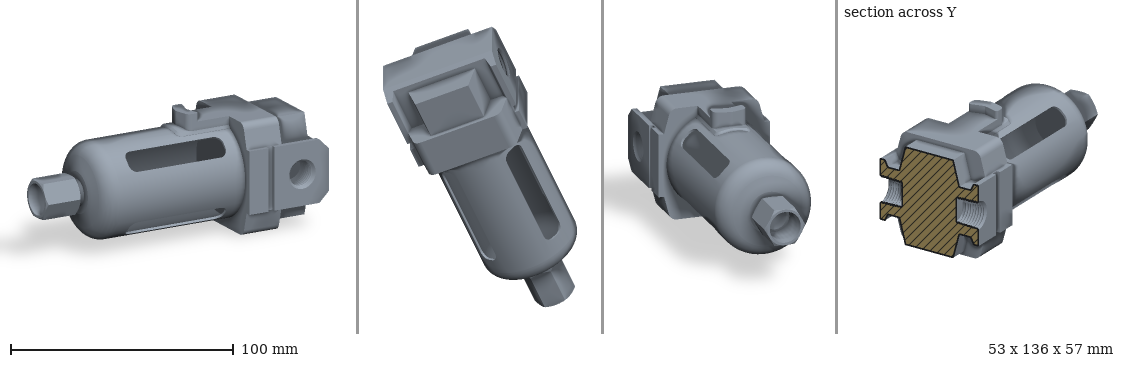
import cadquery as cq
import math

OVERLAP = 1.4

HEAD_LENGTH = 41.1
HEAD_HALF = 26.5
DRAFT = 15.0
PLATE_HALF_HEIGHT = 15.0
PLATE_CHAMFER = 4.9
COLLAR_LENGTH = 18.1
COLLAR_SHOULDER = 24.0
COLLAR_FILLET = 4.0
TOWER_HALF_HEIGHT = 24.1
TOWER_TOP_HALF_WIDTH = 12.9
POCKET_DEPTH = 3.3
POCKET_TOP_HALF_WIDTH = 24.0
POCKET_FLOOR_HALF_WIDTH = 22.3
GROOVE_START = 9.8
GROOVE_WIDTH = 3.3
GROOVE_DEPTH = 1.9

PORT_Y = 27.3
PORT_MOUTH_RADIUS = 7.0
PORT_CREST_RADIUS = 6.0
PORT_TAPER = 1 / 16
THREAD_PITCH = 1.4
THREAD_DEPTH = 0.7
THREAD_TURNS = 8
PORT_COUNTERSINK = PORT_MOUTH_RADIUS - PORT_CREST_RADIUS

BOWL_RADIUS = 22.7
BOWL_WALL = 1.1
BOWL_STRAIGHT = 64.3
DOME_ARC_RADIUS = 8.0
DOME_CONE_ANGLE = 15.0
BOWL_END_RADIUS = 9.8
WINDOW_START = 7.0
WINDOW_LENGTH = 50.2
WINDOW_WIDTH = 10.6
WINDOW_CORNER = 3.8
WINDOW_ANGLES = (45, 135, 225, 315)

LATCH_HALF_WIDTH = 7.9
LATCH_TOP = HEAD_HALF
KNOB_TOP = 30.5
KNOB_TIP = 23.1
KNOB_THICKNESS = 5.6
KNOB_ANGLE = 15.0
KNOB_FRONT_FILLET = 2.7
KNOB_REAR_FILLET = 1.1
KNOB_TIP_FILLET = 2.7
BOSS_LENGTH = 26.9
BOSS_HALF_WIDTH = 8.8
BOSS_HEIGHT = 1.1
BOSS_CORNER = 2.9
BOSS_CHAMFER = 1.02

TOTAL_LENGTH = 136.0
NECK_RADIUS = 6.4
NUT_LENGTH = 18.0
NUT_ACROSS_FLATS = 17.0
NUT_BEVEL = 30.0
BORE_MOUTH_RADIUS = 7.3
BORE_FLOOR_RADIUS = 6.8
BORE_DEPTH = 13.6
DRILL_RADIUS = 5.6
DRILL_POINT_DEPTH = DRILL_RADIUS


def slope(angle):
    return math.tan(math.radians(angle))


def prism(points, start, end):
    """Closed outline in X and Z, extruded along Y from start to end."""
    return cq.Workplane("XZ", origin=(0, start, 0)).polyline(points).close().extrude(start - end)


def trapezoid(low_half, low_z, high_half, high_z):
    return [(-low_half, low_z), (low_half, low_z), (high_half, high_z), (-high_half, high_z)]


def above_and_below(shape):
    return shape.union(shape.mirror("XY"))


def both_sides(shape):
    return shape.union(shape.mirror("YZ"))


def side_plates():
    return (
        cq.Workplane("XY")
        .box(2 * HEAD_HALF, HEAD_LENGTH, 2 * PLATE_HALF_HEIGHT, centered=(True, False, True))
        .edges("|X and >Y")
        .chamfer(PLATE_CHAMFER)
    )


def collar():
    top_half_width = COLLAR_SHOULDER - (HEAD_HALF - PLATE_HALF_HEIGHT) * slope(DRAFT)
    upper = prism(
        trapezoid(COLLAR_SHOULDER, PLATE_HALF_HEIGHT, top_half_width, HEAD_HALF), 0, COLLAR_LENGTH
    )
    upper = upper.edges("|Y and >Z").fillet(COLLAR_FILLET)
    return above_and_below(upper)


def tower():
    floor_z = PLATE_HALF_HEIGHT - POCKET_DEPTH
    base_half_width = TOWER_TOP_HALF_WIDTH + (TOWER_HALF_HEIGHT - floor_z) * slope(DRAFT)
    upper = prism(
        trapezoid(base_half_width, floor_z, TOWER_TOP_HALF_WIDTH, TOWER_HALF_HEIGHT),
        COLLAR_LENGTH,
        HEAD_LENGTH - PLATE_CHAMFER,
    )
    return above_and_below(upper)


def tower_pockets():
    floor_z = PLATE_HALF_HEIGHT - POCKET_DEPTH
    upper = prism(
        trapezoid(POCKET_FLOOR_HALF_WIDTH, floor_z, POCKET_TOP_HALF_WIDTH, PLATE_HALF_HEIGHT),
        COLLAR_LENGTH,
        HEAD_LENGTH,
    )
    return above_and_below(upper)


def side_grooves():
    groove = cq.Workplane("XY").box(
        GROOVE_DEPTH, GROOVE_WIDTH, 2 * PLATE_HALF_HEIGHT, centered=(False, False, True)
    )
    return both_sides(groove.translate((HEAD_HALF - GROOVE_DEPTH, GROOVE_START, 0)))


def threaded_ports():
    """Blind bore with a countersunk mouth and tapered V rings for the thread."""
    profile = [(HEAD_HALF, 0), (HEAD_HALF, PORT_MOUTH_RADIUS)]
    for turn in range(THREAD_TURNS + 1):
        depth = PORT_COUNTERSINK + turn * THREAD_PITCH
        crest = PORT_CREST_RADIUS - depth * PORT_TAPER / 2
        profile.append((HEAD_HALF - depth, crest))
        if turn < THREAD_TURNS:
            profile.append((HEAD_HALF - depth - THREAD_PITCH / 2, crest + THREAD_DEPTH))
    profile.append((profile[-1][0], 0))
    port = cq.Workplane("XY").polyline(profile).close().revolve(360, (0, 0, 0), (1, 0, 0))
    return both_sides(port.translate((0, PORT_Y, 0)))


def make_head():
    return (
        side_plates()
        .cut(tower_pockets())
        .union(tower())
        .union(collar())
        .cut(side_grooves())
        .cut(threaded_ports())
    )


def bowl_end_y():
    """Y of the flat ring where the dome's cone ends and the drain starts."""
    arc_end_radius = BOWL_RADIUS - DOME_ARC_RADIUS * (1 - math.sin(math.radians(DOME_CONE_ANGLE)))
    arc_drop = DOME_ARC_RADIUS * math.cos(math.radians(DOME_CONE_ANGLE))
    cone_drop = (arc_end_radius - BOWL_END_RADIUS) * slope(DOME_CONE_ANGLE)
    return -(BOWL_STRAIGHT + arc_drop + cone_drop)


def bowl_shape(inset):
    """Solid of revolution whose faces all lie the inset inside the outer bowl."""
    centre_radius = BOWL_RADIUS - DOME_ARC_RADIUS
    arc_radius = DOME_ARC_RADIUS - inset

    def arc_point(angle):
        turn = math.radians(angle)
        return (
            centre_radius + arc_radius * math.cos(turn),
            -BOWL_STRAIGHT - arc_radius * math.sin(turn),
        )

    arc_angle = 90 - DOME_CONE_ANGLE
    arc_end = arc_point(arc_angle)
    end_y = bowl_end_y() + inset
    end_radius = arc_end[0] - (arc_end[1] - end_y) / slope(DOME_CONE_ANGLE)
    return (
        cq.Workplane("XY")
        .lineTo(BOWL_RADIUS - inset, 0)
        .lineTo(BOWL_RADIUS - inset, -BOWL_STRAIGHT)
        .threePointArc(arc_point(arc_angle / 2), arc_end)
        .lineTo(end_radius, end_y)
        .lineTo(0, end_y)
        .close()
        .revolve(360, (0, 0, 0), (0, 1, 0))
    )


def latch_boss():
    """Low pad that follows the bowl surface under the latch."""
    top_radius = BOWL_RADIUS + BOSS_HEIGHT
    footprint = (
        cq.Workplane("XY")
        .box(2 * BOSS_HALF_WIDTH, BOSS_LENGTH, top_radius + OVERLAP, centered=(True, False, False))
        .translate((0, -BOSS_LENGTH, 0))
        .edges("|Z and <Y")
        .fillet(BOSS_CORNER)
    )
    follower = cq.Workplane("XZ").circle(top_radius).extrude(BOSS_LENGTH)
    return footprint.intersect(follower).faces(">Z").edges("not >Y").chamfer(BOSS_CHAMFER)


def latch():
    """Flat tongue ending in a raised V-shaped finger grip."""
    sweep = LATCH_HALF_WIDTH * slope(KNOB_ANGLE)
    front_corner_y = -KNOB_TIP + sweep
    rear_tip_y = -KNOB_TIP + KNOB_THICKNESS
    rear_corner_y = rear_tip_y + sweep

    def v_prism(rear, height):
        front = [(LATCH_HALF_WIDTH, front_corner_y), (0, -KNOB_TIP), (-LATCH_HALF_WIDTH, front_corner_y)]
        shape = cq.Workplane("XY").polyline(rear + front).close().extrude(height)
        shape = shape.edges("|Z and <Y").fillet(KNOB_TIP_FILLET)
        for side in (-1, 1):
            corner_point = (side * LATCH_HALF_WIDTH, front_corner_y, height / 2)
            corner = cq.selectors.NearestToPointSelector(corner_point)
            shape = shape.edges("|Z").edges(corner).fillet(KNOB_FRONT_FILLET)
        return shape

    tongue = v_prism([(-LATCH_HALF_WIDTH, 0), (LATCH_HALF_WIDTH, 0)], LATCH_TOP)
    rear_v = [(-LATCH_HALF_WIDTH, rear_corner_y), (0, rear_tip_y), (LATCH_HALF_WIDTH, rear_corner_y)]
    knob = v_prism(rear_v, KNOB_TOP).edges("|Z and >Y").fillet(KNOB_REAR_FILLET)
    return tongue.union(knob)


def windows():
    cutter = (
        cq.Workplane("XY")
        .box(WINDOW_WIDTH, WINDOW_LENGTH, BOWL_RADIUS + OVERLAP, centered=(True, False, False))
        .translate((0, -WINDOW_START - WINDOW_LENGTH, 0))
        .edges("|Z")
        .fillet(WINDOW_CORNER)
    )
    for angle in WINDOW_ANGLES:
        yield cutter.rotate((0, 0, 0), (0, 1, 0), angle)


def make_bowl():
    bowl = bowl_shape(0).union(latch_boss()).union(latch()).cut(bowl_shape(BOWL_WALL))
    for window in windows():
        bowl = bowl.cut(window)
    return bowl


def hex_nut(end_y):
    """Hexagon with corners on X, both ends bevelled down to the width across flats."""
    corner_radius = NUT_ACROSS_FLATS / math.sqrt(3)
    flat_radius = NUT_ACROSS_FLATS / 2
    bevel = (corner_radius - flat_radius) * slope(NUT_BEVEL)
    nut = cq.Workplane("XZ").polygon(6, 2 * corner_radius).extrude(-NUT_LENGTH)
    bevelled_rod = (
        cq.Workplane("XY")
        .lineTo(flat_radius, 0)
        .lineTo(corner_radius, bevel)
        .lineTo(corner_radius, NUT_LENGTH - bevel)
        .lineTo(flat_radius, NUT_LENGTH)
        .lineTo(0, NUT_LENGTH)
        .close()
        .revolve(360, (0, 0, 0), (0, 1, 0))
    )
    return nut.intersect(bevelled_rod).translate((0, end_y, 0))


def drain_bore(end_y):
    """Tapered bore with a flat shoulder and a drill point in its floor."""
    return (
        cq.Workplane("XY")
        .lineTo(BORE_MOUTH_RADIUS, 0)
        .lineTo(BORE_FLOOR_RADIUS, BORE_DEPTH)
        .lineTo(DRILL_RADIUS, BORE_DEPTH)
        .lineTo(0, BORE_DEPTH + DRILL_POINT_DEPTH)
        .close()
        .revolve(360, (0, 0, 0), (0, 1, 0))
        .translate((0, end_y, 0))
    )


def make_drain():
    end_y = HEAD_LENGTH - TOTAL_LENGTH
    neck_length = bowl_end_y() - end_y - NUT_LENGTH
    neck = cq.Workplane("XZ", origin=(0, bowl_end_y(), 0)).circle(NECK_RADIUS).extrude(neck_length)
    return neck.union(hex_nut(end_y)).cut(drain_bore(end_y))


head = make_head()
bowl = make_bowl()
drain = make_drain()
result = cq.Compound.makeCompound([head.val(), bowl.val(), drain.val()])